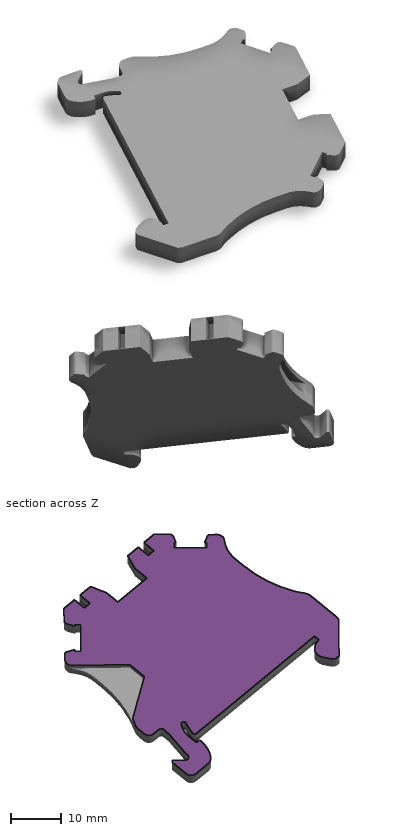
import cadquery as cq
import math


width = 48.0
height = 46.85
thickness = 5.15
half_width = width / 2
half_root = math.sqrt(0.5)

split_y = 17.3
gap_half_width = 4.05
gap_floor_y = 40.35
gap_flare_y = 43.6
horn_inner_x = 5.2
horn_outer_x = 12.7
horn_chamfer = 2.15
horn_nose_mid = (15.0, 44.1)
horn_nose_end = (15.0, 43.7)
horn_tip = (14.2, 42.15)
groove_top = (13.2, 41.65)
groove_length = 6.35
groove_lip = 1.05
knob_tip = (18.2, 38.3)
knob_crest_start = (19.7, 39.0)
knob_crest_mid = (20.15, 39.05)
knob_crest_end = (20.55, 38.85)
knob_shoulder = (21.1, 38.25)
knob_side_mid = (21.8, 37.05)
knob_bottom = (21.65, 36.15)
neck_start = (21.05, 35.35)
waist_x = 19.8
waist_top_y = 31.35
waist_bottom_y = 28.95
waist_flare_radius = 25.8
neck_mid = (20.1, 33.4)

rail_y = 6.8
rail_left_x = -15.95
rail_right_x = 17.5

right_side_top = (half_width, 14.3)
right_shoulder = (23.3, 16.1)
right_shoulder_mid = (23.8, 15.25)
right_side_bottom_y = 7.0
right_chamfer_x = 23.8
right_chamfer = 6.2
hook_underside_y = 5.65
hook_nose_top = (14.95, 4.2)
hook_nose_top_mid = (16.05, 5.25)
hook_nose_mid = (14.8, 3.0)
hook_nose_bottom = (15.15, 1.9)
hook_toe = (16.1, 0.45)
hook_sole_x = 16.7

left_side_x = -23.05
left_shoulder_mid = (-22.9, 16.55)
left_side_top_y = 15.8
left_ledge_y = 12.75
left_corner_radius = 1.45
ledge_radius = 0.6
leg_top = (-19.6, 11.4)
leg_bend_mid = (-19.65, 10.45)
leg_upper = (-19.8, 9.6)
leg_lower = (-20.6, 4.9)
crook_right_y = 4.4
crook_bottom = (-21.35, 3.75)
crook_left = (-21.9, 4.0)
barb_inner = (-23.4, 5.6)
barb_mid = (-23.7, 5.6)
barb_outer_y = 5.2
heel_radius = 1.45
sole_end_x = -19.25
toe_bend_mid = (-18.2, 0.3)
toe_bend_end = (-17.45, 1.0)
toe_mid = (-16.55, 2.95)
toe_top = (-16.25, 5.4)
slot_shelf = (-17.15, 5.4)

slot_outer_start_y = 7.7
slot_outer_mid = (-16.85, 9.1)
slot_outer_end = (-16.2, 10.45)
slot_tip = (-15.7, 10.7)
slot_inner_end = (-15.3, 10.2)
slot_inner_mid = (-15.8, 8.9)
slot_inner_start = (-16.2, 7.3)

pocket_bottom_z = 1.65
pocket_top_z = 4.15
pocket_floor_x = -13.2
pocket_mouth_x = -half_width
pocket_top_y = knob_bottom[1]
pocket_floor_top_y = 27.95
pocket_floor_bottom_y = 23.9
pocket_bottom_y = 18.4
pocket_rim_top_x = -knob_bottom[0]
pocket_rim_bottom_x = -22.05

horn_slot_width = 1.5
horn_slot_depth = 2.8
horn_slot_wall = 0.1
horn_slot_center_x = 9.0


def head_half():
    """Right half of the head, from the centre plane to the waist."""
    groove_bottom = (
        groove_top[0] + groove_length * half_root,
        groove_top[1] - groove_length * half_root,
    )
    groove_top_lip = (
        groove_top[0] + groove_lip * half_root,
        groove_top[1] + groove_lip * half_root,
    )
    groove_bottom_lip = (
        groove_bottom[0] + groove_lip * half_root,
        groove_bottom[1] + groove_lip * half_root,
    )
    return (
        cq.Workplane("XY")
        .moveTo(0, split_y)
        .lineTo(0, gap_floor_y)
        .lineTo(gap_half_width, gap_floor_y)
        .lineTo(gap_half_width, gap_flare_y)
        .lineTo(horn_inner_x, height)
        .lineTo(horn_outer_x, height)
        .lineTo(horn_outer_x + horn_chamfer, height - horn_chamfer)
        .threePointArc(horn_nose_mid, horn_nose_end)
        .lineTo(*horn_tip)
        .lineTo(*groove_top_lip)
        .lineTo(*groove_top)
        .lineTo(*groove_bottom)
        .lineTo(*groove_bottom_lip)
        .lineTo(*knob_tip)
        .lineTo(*knob_crest_start)
        .threePointArc(knob_crest_mid, knob_crest_end)
        .lineTo(*knob_shoulder)
        .threePointArc(knob_side_mid, knob_bottom)
        .lineTo(*neck_start)
        .threePointArc(neck_mid, (waist_x, waist_top_y))
        .lineTo(waist_x, waist_bottom_y)
        .radiusArc(flare_end(), -waist_flare_radius)
        .close()
        .extrude(thickness)
    )


def flare_end():
    """End of the waist flare, an arc tangent to the vertical waist."""
    drop = waist_bottom_y - split_y
    spread = waist_flare_radius - math.sqrt(waist_flare_radius**2 - drop**2)
    return (waist_x + spread, split_y)


def foot_section():
    """Everything below the head: shoulders, rail recess and both feet."""
    flare_x = flare_end()[0]
    return (
        cq.Workplane("XY")
        .moveTo(-flare_x, split_y)
        .lineTo(flare_x, split_y)
        .lineTo(*right_shoulder)
        .threePointArc(right_shoulder_mid, right_side_top)
        .lineTo(half_width, right_side_bottom_y)
        .lineTo(right_chamfer_x, right_chamfer)
        .lineTo(right_chamfer_x - right_chamfer, 0)
        .lineTo(hook_sole_x, 0)
        .lineTo(*hook_toe)
        .lineTo(*hook_nose_bottom)
        .threePointArc(hook_nose_mid, hook_nose_top)
        .threePointArc(hook_nose_top_mid, (rail_right_x, hook_underside_y))
        .lineTo(rail_right_x, rail_y)
        .lineTo(rail_left_x, rail_y)
        .lineTo(*slot_inner_start)
        .threePointArc(slot_inner_mid, slot_inner_end)
        .threePointArc(slot_tip, slot_outer_end)
        .threePointArc(slot_outer_mid, (slot_shelf[0], slot_outer_start_y))
        .lineTo(*slot_shelf)
        .lineTo(*toe_top)
        .threePointArc(toe_mid, toe_bend_end)
        .threePointArc(toe_bend_mid, (sole_end_x, 0))
        .lineTo(heel_radius - half_width, 0)
        .radiusArc((-half_width, heel_radius), heel_radius)
        .lineTo(-half_width, barb_outer_y)
        .threePointArc(barb_mid, barb_inner)
        .lineTo(*crook_left)
        .threePointArc(crook_bottom, (leg_lower[0], crook_right_y))
        .lineTo(*leg_lower)
        .lineTo(*leg_upper)
        .threePointArc(leg_bend_mid, leg_top)
        .lineTo(leg_top[0], left_ledge_y - ledge_radius)
        .radiusArc((leg_top[0] - ledge_radius, left_ledge_y), -ledge_radius)
        .lineTo(left_side_x + left_corner_radius, left_ledge_y)
        .radiusArc((left_side_x, left_ledge_y + left_corner_radius), left_corner_radius)
        .lineTo(left_side_x, left_side_top_y)
        .threePointArc(left_shoulder_mid, (-flare_x, split_y))
        .close()
        .extrude(thickness)
    )


def waist_pocket():
    """Tapered pocket cut into the left waist, within the thickness."""
    outline = [
        (pocket_mouth_x, pocket_top_y),
        (pocket_rim_top_x, pocket_top_y),
        (pocket_floor_x, pocket_floor_top_y),
        (pocket_floor_x, pocket_floor_bottom_y),
        (pocket_rim_bottom_x, pocket_bottom_y),
        (pocket_mouth_x, pocket_bottom_y),
    ]
    return (
        cq.Workplane("XY", origin=(0, 0, pocket_bottom_z))
        .polyline(outline)
        .close()
        .extrude(pocket_top_z - pocket_bottom_z)
    )


def horn_slot(center_x):
    """Blind slot entering a horn from its +Y end."""
    return cq.Workplane("XY").box(
        horn_slot_width,
        horn_slot_depth,
        thickness - 2 * horn_slot_wall,
    ).translate((center_x, height - horn_slot_depth / 2, thickness / 2))


right_head = head_half()
head = right_head.union(right_head.mirror("YZ"))
body = head.union(foot_section()).clean()
body = body.cut(waist_pocket())

for side in (-1, 1):
    body = body.cut(horn_slot(side * horn_slot_center_x))

result = body